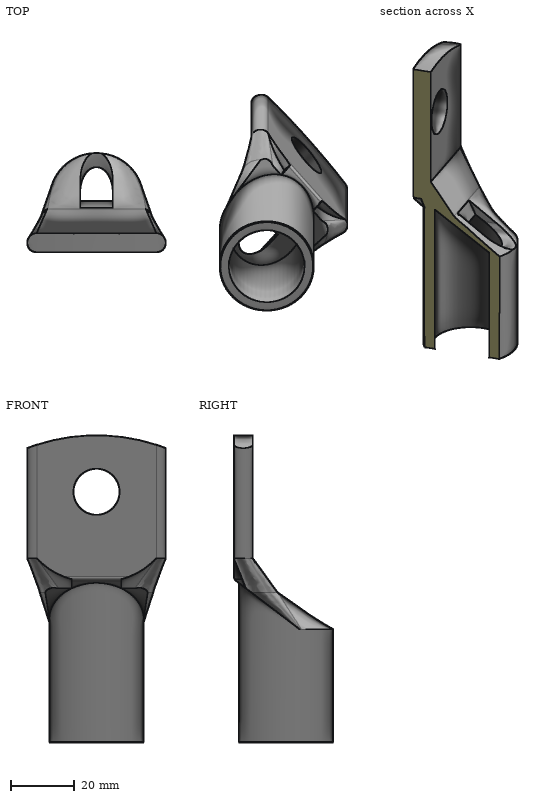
import cadquery as cq
import math

barrel_dia = 30.0
bore_dia = 24.0
barrel_radius = barrel_dia / 2
bore_radius = bore_dia / 2
rim_chamfer = 0.3

total_height = 97.6
palm_width = 44.0
palm_thickness = 6.1
palm_offset = 1.6
palm_front = -barrel_radius - palm_offset
palm_back = palm_front + palm_thickness
palm_half_width = palm_width / 2
palm_flat_half_width = palm_half_width - palm_thickness / 2
palm_shoulder_z = 93.5
palm_start_z = 58.6
bolt_hole_dia = 14.5
bolt_hole_z = 79.65

foot_z = 51.9
foot_half_width = 7.8
foot_edge_radius = 1.8
foot_corner_mid = (14.25, 54.7)

neck_base_z = 27.3
shoulder_z = 36.1
shoulder_front = 3.8
shoulder_side_angle = 4.0
waist_z = 47.8
waist_half_width = 18.1
waist_front_half_width = 11.2
waist_back_half_width = 15.6
waist_back = -2.7
waist_front = -12.2
underside_slope = 0.76

bore_end_y = 10.4
bore_end_z = 35.9
bore_end_slope = 0.66

window_width = 10.25
window_bottom_z = 35.9
window_top_outer = (-2.4, 47.6)
window_top_inner = (-0.2, 42.9)

reach = total_height


def below_slope(y, z, slope):
    """Block below a plane through (y, z) that falls by slope towards +Y."""
    return (
        cq.Workplane("YZ")
        .moveTo(y - reach, z + slope * reach)
        .lineTo(y + reach, z - slope * reach)
        .lineTo(y + reach, -2 * reach)
        .lineTo(y - reach, -2 * reach)
        .close()
        .extrude(reach, both=True)
    )


def section_wire(z, front, back, front_half_width, back_half_width, half_width):
    """Flat section with bulged ends, as four edges for lofting."""
    middle = (front + back) / 2
    return (
        cq.Workplane("XY", origin=(0, 0, z))
        .moveTo(-front_half_width, front)
        .lineTo(front_half_width, front)
        .threePointArc((half_width, middle), (back_half_width, back))
        .lineTo(-back_half_width, back)
        .threePointArc((-half_width, middle), (-front_half_width, front))
        .close()
        .wire()
        .val()
    )


def barrel_point(angle):
    """Point on the barrel's outer circle, angle in radians from +X."""
    return (barrel_radius * math.cos(angle), barrel_radius * math.sin(angle))


def half_round_wire(z):
    """Back part of the barrel circle closed by a flat front."""
    start = math.asin(shoulder_front / barrel_radius)
    end = start + math.radians(shoulder_side_angle)
    half = (start + end) / 2
    return (
        cq.Workplane("XY", origin=(0, 0, z))
        .moveTo(*barrel_point(math.pi - start))
        .lineTo(*barrel_point(start))
        .threePointArc(barrel_point(half), barrel_point(end))
        .threePointArc((0, barrel_radius), barrel_point(math.pi - end))
        .threePointArc(barrel_point(math.pi - half), barrel_point(math.pi - start))
        .close()
        .wire()
        .val()
    )


def make_underside():
    """Everything below the neck's sloping underside."""
    return below_slope(palm_front, foot_z, underside_slope)


def make_barrel():
    barrel = cq.Workplane("XY").circle(barrel_radius).extrude(reach)
    return barrel.faces("<Z").chamfer(rim_chamfer).intersect(make_underside())


def make_neck():
    base = half_round_wire(neck_base_z)
    shoulder = half_round_wire(shoulder_z)
    waist = section_wire(
        waist_z, waist_front, waist_back,
        waist_front_half_width, waist_back_half_width, waist_half_width,
    )
    palm = section_wire(
        palm_start_z, palm_front, palm_back,
        palm_flat_half_width, palm_flat_half_width, palm_half_width,
    )
    neck = cq.Workplane(cq.Solid.makeLoft([base, shoulder, waist, palm], True))
    return neck.cut(make_underside())


def make_palm():
    bar = (
        cq.Workplane("XY", origin=(0, (palm_front + palm_back) / 2, 0))
        .slot2D(palm_width, palm_thickness)
        .extrude(reach)
    )
    corner_x, corner_z = foot_corner_mid
    outline = (
        cq.Workplane("XZ")
        .moveTo(-foot_half_width, foot_z)
        .lineTo(-foot_half_width, neck_base_z)
        .lineTo(foot_half_width, neck_base_z)
        .lineTo(foot_half_width, foot_z)
        .threePointArc((corner_x, corner_z), (palm_flat_half_width, palm_start_z))
        .lineTo(palm_half_width, palm_start_z)
        .lineTo(palm_half_width, palm_shoulder_z)
        .threePointArc((0, total_height), (-palm_half_width, palm_shoulder_z))
        .lineTo(-palm_half_width, palm_start_z)
        .lineTo(-palm_flat_half_width, palm_start_z)
        .threePointArc((-corner_x, corner_z), (-foot_half_width, foot_z))
        .close()
        .extrude(reach, both=True)
    )
    palm = bar.intersect(outline).cut(make_underside())
    foot_edge = cq.selectors.NearestToPointSelector((0, palm_front, foot_z))
    return palm.edges(foot_edge).fillet(foot_edge_radius)


def make_bore():
    bore = cq.Workplane("XY").circle(bore_radius).extrude(reach)
    return bore.intersect(below_slope(bore_end_y, bore_end_z, bore_end_slope))


def make_window():
    radius = window_width / 2
    arch = (
        cq.Workplane("XZ")
        .moveTo(-radius, reach)
        .lineTo(-radius, window_bottom_z + radius)
        .threePointArc((0, window_bottom_z), (radius, window_bottom_z + radius))
        .lineTo(radius, reach)
        .close()
        .extrude(-reach, both=True)
    )
    outer_y, outer_z = window_top_outer
    inner_y, inner_z = window_top_inner
    side = (
        cq.Workplane("YZ")
        .moveTo(outer_y, reach)
        .lineTo(outer_y, outer_z)
        .lineTo(inner_y, inner_z)
        .lineTo(inner_y, 0)
        .lineTo(reach, 0)
        .lineTo(reach, reach)
        .close()
        .extrude(reach, both=True)
    )
    return arch.intersect(side)


bolt_hole = (
    cq.Workplane("XZ", origin=(0, 0, bolt_hole_z))
    .circle(bolt_hole_dia / 2)
    .extrude(reach, both=True)
)

result = (
    make_barrel()
    .union(make_neck())
    .union(make_palm())
    .cut(make_bore())
    .cut(make_window())
    .cut(bolt_hole)
)